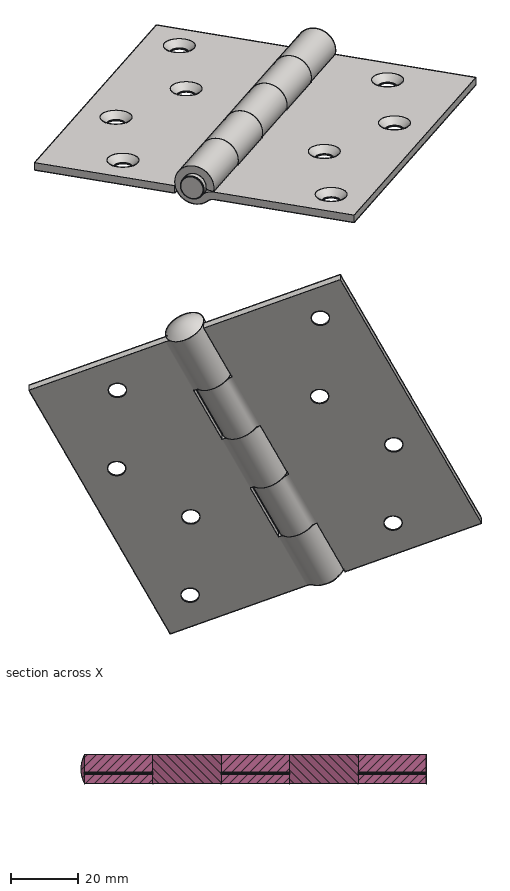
import cadquery as cq
import math

total_length = 106.1

leaf_length = 102.0
open_width = 102.0
leaf_top_drop = 1.3
knuckle_count = 5
knuckle_radius = 12.5 / 2
roll_end_angle = 11.0

pin_radius = 7.5 / 2
tail_length = 2.0
tail_chamfer = 0.2

hole_diameter = 5.4
countersink_diameter = 9.5
countersink_angle = 90.0
hole_outer_x = 39.5
hole_inner_x = 27.0
hole_far_y = 40.0
hole_near_y = 13.0

sheet = knuckle_radius - pin_radius
sheet_top = -leaf_top_drop
sheet_bottom = sheet_top - sheet
half_length = leaf_length / 2
half_width = open_width / 2
knuckle_length = leaf_length / knuckle_count
head_height = total_length - leaf_length - tail_length

bend_radius = (knuckle_radius**2 + leaf_top_drop**2 - pin_radius**2) / (2 * (pin_radius - leaf_top_drop))
bend_centre_z = sheet_top - bend_radius
roll_start_angle = math.degrees(math.atan2(-bend_centre_z, knuckle_radius))
bend_middle_angle = (90 + 180 - roll_start_angle) / 2

roll_middle_angle = 180 - (roll_start_angle + roll_end_angle) / 2

countersink_depth = (
    (countersink_diameter - hole_diameter) / 2 / math.tan(math.radians(countersink_angle / 2))
)


def roll_point(radius, angle):
    """Point around the pin axis, angle in degrees from +X."""
    return (radius * math.cos(math.radians(angle)), radius * math.sin(math.radians(angle)))


def bend_point(radius, angle):
    """Point around the bend axis, angle in degrees from +X."""
    x, z = roll_point(radius, angle)
    return (knuckle_radius + x, bend_centre_z + z)


def y_cylinder(radius, y_start, length):
    """Cylinder on the pin axis, running toward +Y from y_start."""
    return cq.Workplane("XZ", origin=(0, y_start, 0)).circle(radius).extrude(-length)


def knuckle(index):
    """Sheet that bends down from the +X leaf plate and rolls around the pin."""
    inner_bend_radius = bend_radius - sheet
    return (
        cq.Workplane("XZ", origin=(0, -half_length + index * knuckle_length, 0))
        .moveTo(half_width, sheet_top)
        .lineTo(knuckle_radius, sheet_top)
        .threePointArc(
            bend_point(bend_radius, bend_middle_angle),
            roll_point(pin_radius, -roll_start_angle),
        )
        .threePointArc(
            roll_point(pin_radius, roll_middle_angle),
            roll_point(pin_radius, -roll_end_angle),
        )
        .lineTo(*roll_point(knuckle_radius, -roll_end_angle))
        .threePointArc(
            roll_point(knuckle_radius, roll_middle_angle),
            roll_point(knuckle_radius, -roll_start_angle),
        )
        .threePointArc(
            bend_point(inner_bend_radius, bend_middle_angle),
            (knuckle_radius, sheet_bottom),
        )
        .lineTo(half_width, sheet_bottom)
        .close()
        .extrude(-knuckle_length)
    )


def leaf_blank(knuckle_indices):
    """Undrilled leaf on the +X side: a flat plate with rolled knuckles at the given positions."""
    body = cq.Workplane("XY").box(
        half_width - knuckle_radius, leaf_length, sheet, centered=False
    ).translate((knuckle_radius, -half_length, sheet_bottom))
    for index in knuckle_indices:
        body = body.union(knuckle(index))
    return body.clean()


def drill_screw_holes(blank, x_positions):
    """Drill countersunk holes that alternate between two columns, from +Y to -Y."""
    y_positions = (hole_far_y, hole_near_y, -hole_near_y, -hole_far_y)
    hole_points = [(x_positions[row % 2], y) for row, y in enumerate(y_positions)]
    for x, y in hole_points:
        drill = cq.Workplane("XY", origin=(x, y, sheet_top)).circle(hole_diameter / 2).extrude(-sheet)
        countersink = cq.Solid.makeCone(
            countersink_diameter / 2,
            hole_diameter / 2,
            countersink_depth,
            pnt=cq.Vector(x, y, sheet_top),
            dir=cq.Vector(0, 0, -1),
        )
        blank = blank.cut(drill).cut(cq.Workplane(obj=countersink))
    return blank


def right_leaf():
    """Leaf on the +X side with the two end knuckles and the middle one."""
    blank = leaf_blank(range(0, knuckle_count, 2))
    return drill_screw_holes(blank, (hole_inner_x, hole_outer_x))


def left_leaf():
    """Leaf on the -X side with the knuckles in between."""
    blank = leaf_blank(range(1, knuckle_count, 2)).mirror("YZ")
    return drill_screw_holes(blank, (-hole_outer_x, -hole_inner_x))


def pin():
    """Pin with a chamfered tail at -Y and a domed head, as wide as the knuckles, at +Y."""
    shaft = y_cylinder(pin_radius, -half_length - tail_length, leaf_length + tail_length)
    shaft = shaft.faces("<Y").chamfer(tail_chamfer)

    head_tip_y = half_length + head_height
    dome_radius = (knuckle_radius**2 + head_height**2) / (2 * head_height)
    dome_centre_y = head_tip_y - dome_radius
    half_dome_angle = math.asin(knuckle_radius / dome_radius) / 2
    dome_middle = (
        dome_radius * math.sin(half_dome_angle),
        dome_centre_y + dome_radius * math.cos(half_dome_angle),
    )
    head = (
        cq.Workplane("XY")
        .moveTo(0, half_length)
        .lineTo(knuckle_radius, half_length)
        .threePointArc(dome_middle, (0, head_tip_y))
        .close()
        .revolve(360, (0, 0), (0, 1))
    )
    return shaft.union(head)


result = cq.Compound.makeCompound([right_leaf().val(), left_leaf().val(), pin().val()])